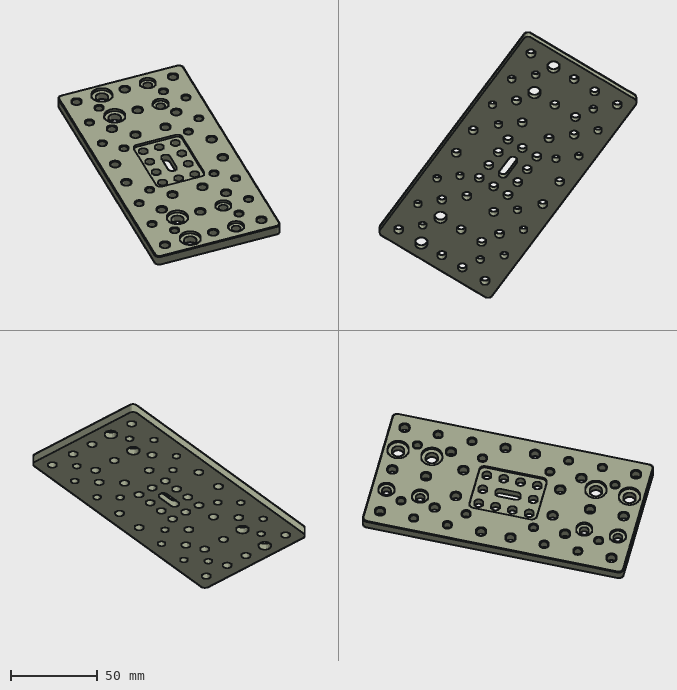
import cadquery as cq

LENGTH = 155.0
WIDTH = 77.7
THICKNESS = 6.2
CORNER_RADIUS = 3.0
EDGE_CHAMFER = 0.5

PITCH = 20.0
HALF_PITCH = PITCH / 2
COLUMN_SPAN = 137.5
COLUMNS = [COLUMN_SPAN / 2 - i * PITCH for i in range(4)]
EDGE_ROW = 1.5 * PITCH
INNER_ROW = PITCH
POCKET_SIDE_ROW = 9.3

LARGE_HOLE_DIAMETER = 5.3
SMALL_HOLE_DIAMETER = 4.5
HOLE_CHAMFER = 0.5

BORE_ROW = 14.3
SMALL_BORE_HOLE_DIAMETER = 5.3
SMALL_BORE_DIAMETER = 9.5
LARGE_BORE_HOLE_DIAMETER = 7.3
LARGE_BORE_DIAMETER = 12.4
BORE_DEPTH = 1.7

POCKET_LENGTH = 2 * PITCH
POCKET_WIDTH = 1.5 * PITCH
POCKET_RADIUS = 3.0
POCKET_DEPTH = 1.5
POCKET_HOLE_DIAMETER = 5.3
SLOT_LENGTH = HALF_PITCH + POCKET_HOLE_DIAMETER


def mirrored(x, y):
    """Return the point and its distinct mirror images about both centre lines."""
    return sorted({(sx * x, sy * y) for sx in (-1, 1) for sy in (-1, 1)})


def make_plate():
    """Rounded plate with its bottom on Z = 0 and a chamfered top edge."""
    plate = cq.Workplane("XY").box(LENGTH, WIDTH, THICKNESS, centered=(True, True, False))
    plate = plate.edges("|Z").fillet(CORNER_RADIUS)
    return plate.faces(">Z").edges().chamfer(EDGE_CHAMFER)


def top_of(plate):
    """Workplane on the top face, centred on the plate."""
    return plate.faces(">Z").workplane(origin=(0, 0, THICKNESS))


def cut_chamfered_holes(plate, points, diameter):
    """Through holes with a 45 degree chamfer at the top."""
    mouth = diameter + 2 * HOLE_CHAMFER
    return top_of(plate).pushPoints(points).cskHole(diameter, mouth, cskAngle=90)


def cut_counterbores(plate, row, hole_diameter, bore_diameter):
    """Four counterbored through holes on one row, in the two outer columns of each side."""
    points = [(side * x, row) for side in (-1, 1) for x in COLUMNS[:2]]
    return top_of(plate).pushPoints(points).cboreHole(hole_diameter, bore_diameter, BORE_DEPTH)


def cut_pocket(plate):
    """Shallow central pocket, a ring of ten through holes in its floor and a slot in the middle."""
    pocket = (
        cq.Workplane("XY", origin=(0, 0, THICKNESS - POCKET_DEPTH))
        .box(POCKET_LENGTH, POCKET_WIDTH, THICKNESS, centered=(True, True, False))
        .edges("|Z")
        .fillet(POCKET_RADIUS)
    )
    outer_x = 1.5 * HALF_PITCH
    inner_x = 0.5 * HALF_PITCH
    points = mirrored(outer_x, HALF_PITCH) + mirrored(inner_x, HALF_PITCH) + mirrored(outer_x, 0)
    holes = cq.Workplane("XY").pushPoints(points).circle(POCKET_HOLE_DIAMETER / 2).extrude(THICKNESS)
    slot = cq.Workplane("XY").slot2D(SLOT_LENGTH, POCKET_HOLE_DIAMETER).extrude(THICKNESS)
    return plate.cut(pocket).cut(holes).cut(slot)


large_points = (
    mirrored(COLUMNS[0], EDGE_ROW)
    + mirrored(COLUMNS[3], EDGE_ROW)
    + mirrored(COLUMNS[1] - HALF_PITCH, INNER_ROW)
    + mirrored(COLUMNS[2], POCKET_SIDE_ROW)
    + mirrored(COLUMNS[0], 0)
    + mirrored(COLUMNS[1], 0)
)
small_points = (
    mirrored(COLUMNS[1], EDGE_ROW)
    + mirrored(COLUMNS[2], EDGE_ROW)
    + mirrored(COLUMNS[0] - HALF_PITCH, INNER_ROW)
    + mirrored(POCKET_LENGTH / 2, INNER_ROW)
)

plate = make_plate()
plate = cut_chamfered_holes(plate, large_points, LARGE_HOLE_DIAMETER)
plate = cut_chamfered_holes(plate, small_points, SMALL_HOLE_DIAMETER)
plate = cut_counterbores(plate, BORE_ROW, SMALL_BORE_HOLE_DIAMETER, SMALL_BORE_DIAMETER)
plate = cut_counterbores(plate, -BORE_ROW, LARGE_BORE_HOLE_DIAMETER, LARGE_BORE_DIAMETER)
result = cut_pocket(plate)